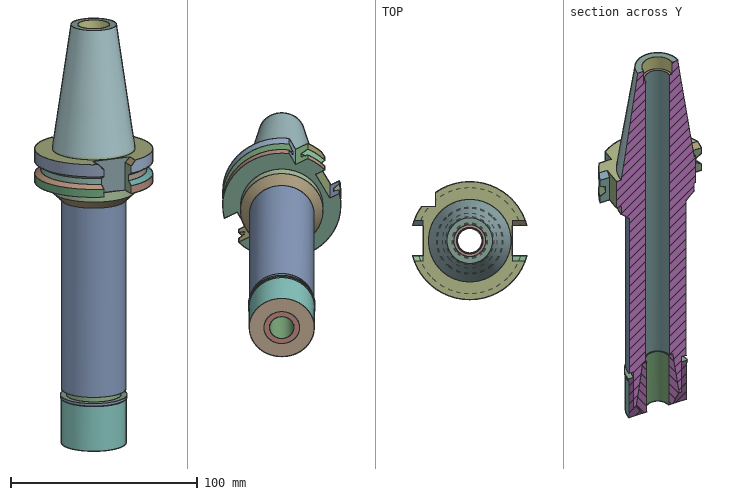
import cadquery as cq
import math

total_height = 233.5
gauge_z = 165.0
flange_top_z = 164.0
flange_bottom_z = 145.9
collar_bottom_z = 140.5
shank_bottom_z = 30.0
nut_height = 26.8

taper_top_diameter = 24.5
gauge_diameter = 44.3
flange_diameter = 63.5
shank_diameter = 34.8
neck_diameter = 29.5

groove_diameter = 57.0
groove_width = 7.0
groove_z = 153.8
groove_flank_angle = 30.0

slot_width = 16.0
slot_chamfer = 2.8
left_slot_x = -25.0
right_slot_x = 22.9
notch_offset = 18.5

bore_diameter = 14.2
counterbore_diameter = 17.0
counterbore_depth = 8.2

collet_bore_diameter = 13.0
collet_diameter = 26.0
collet_length = 33.8
collet_nose_length = 5.8
collet_nose_angle = 30.0
collet_taper_angle = 8.0

nut_diameter = 35.0
nut_rim_diameter = 36.0
nut_rim_height = 1.5

neck_radius = neck_diameter / 2
collet_radius = collet_diameter / 2
collet_front_radius = collet_radius - collet_nose_length * math.tan(math.radians(collet_nose_angle))
collet_taper_length = collet_length - collet_nose_length
collet_back_radius = collet_radius - collet_taper_length * math.tan(math.radians(collet_taper_angle))

profile_plane = cq.Plane(origin=(0, 0, 0), xDir=(0, -1, 0), normal=(-1, 0, 0))


def turn(profile):
    """Revolve a closed outline of (radius, height) points about the Z axis."""
    return cq.Workplane(profile_plane).polyline(profile).close().revolve(360, (0, 0, 0), (0, 1, 0))


def make_holder():
    shank_radius = shank_diameter / 2
    collar_radius = gauge_diameter / 2
    cone_bottom_z = collar_bottom_z - (collar_radius - shank_radius)
    counterbore_z = total_height - counterbore_depth
    blank = turn([
        (neck_radius, collet_nose_length),
        (neck_radius, shank_bottom_z),
        (shank_radius, shank_bottom_z),
        (shank_radius, cone_bottom_z),
        (collar_radius, collar_bottom_z),
        (collar_radius, flange_bottom_z),
        (flange_diameter / 2, flange_bottom_z),
        (flange_diameter / 2, flange_top_z),
        (collar_radius, flange_top_z),
        (collar_radius, gauge_z),
        (taper_top_diameter / 2, total_height),
        (counterbore_diameter / 2, total_height),
        (counterbore_diameter / 2, counterbore_z),
        (bore_diameter / 2, counterbore_z),
        (bore_diameter / 2, collet_length),
        (collet_back_radius, collet_length),
        (collet_radius, collet_nose_length),
    ])
    return (
        blank.cut(make_groove())
        .cut(make_notch())
        .cut(make_slot(left_slot_x, -1))
        .cut(make_slot(right_slot_x, 1))
    )


def make_groove():
    floor_radius = groove_diameter / 2
    rim_radius = flange_diameter / 2
    flank_rise = (rim_radius - floor_radius) * math.tan(math.radians(groove_flank_angle))
    rim_half = groove_width / 2
    floor_half = rim_half - flank_rise
    return turn([
        (floor_radius, groove_z - floor_half),
        (rim_radius, groove_z - rim_half),
        (rim_radius, groove_z + rim_half),
        (floor_radius, groove_z + floor_half),
    ])


def make_slot(floor_x, side):
    """Slot cutter running outward from its floor: side is -1 toward -X and 1 toward +X."""
    half = slot_width / 2
    chamfer_z = flange_top_z - slot_chamfer
    outline = [
        (-half, flange_bottom_z),
        (half, flange_bottom_z),
        (half, chamfer_z),
        (half + slot_chamfer, flange_top_z),
        (-half - slot_chamfer, flange_top_z),
        (-half, chamfer_z),
    ]
    reach = flange_diameter / 2
    return cq.Workplane("YZ", origin=(floor_x, 0, 0)).polyline(outline).close().extrude(side * reach)


def make_notch():
    """Square cutter that opens the -X, +Y corner of the flange."""
    reach = flange_diameter / 2
    return (
        cq.Workplane("XY", origin=(-notch_offset, notch_offset, flange_bottom_z))
        .rect(-reach, reach, centered=False)
        .extrude(flange_top_z - flange_bottom_z)
    )


def make_collet():
    bore_radius = collet_bore_diameter / 2
    return turn([
        (bore_radius, 0),
        (collet_front_radius, 0),
        (collet_radius, collet_nose_length),
        (collet_back_radius, collet_length),
        (bore_radius, collet_length),
    ])


def make_nut():
    nut_radius = nut_diameter / 2
    rim_radius = nut_rim_diameter / 2
    rim_bottom_z = nut_height - nut_rim_height
    bevel_bottom_z = rim_bottom_z - (rim_radius - nut_radius)
    return turn([
        (collet_front_radius, 0),
        (nut_radius, 0),
        (nut_radius, bevel_bottom_z),
        (rim_radius, rim_bottom_z),
        (rim_radius, nut_height),
        (neck_radius, nut_height),
        (neck_radius, collet_nose_length),
        (collet_radius, collet_nose_length),
    ])


holder = make_holder()
collet = make_collet()
nut = make_nut()

result = cq.Compound.makeCompound([holder.val(), collet.val(), nut.val()])